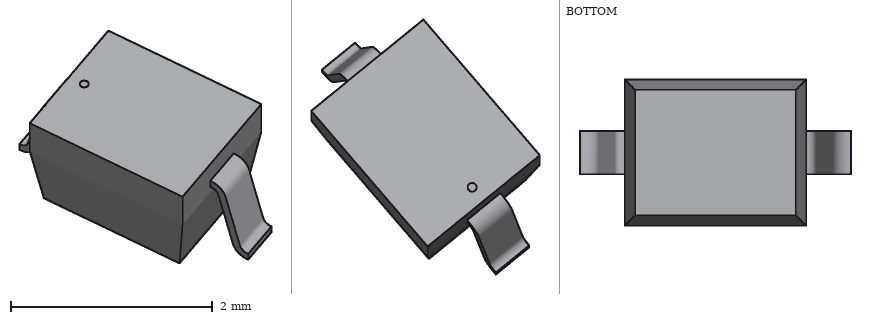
import cadquery as cq
import math

housing_length = 1.8
housing_width = 1.45
housing_height = 1.165
parting_height = 0.745
base_inset = 0.102

mark_diameter = 0.09
mark_thickness = 0.005
mark_x = -0.72

overall_length = 2.69
lead_width = 0.43
lead_thickness = 0.09
lead_top = 0.912
inner_bend_radius = 0.09
bend_angle = math.radians(75)


def make_housing():
    upper = (
        cq.Workplane("XY", origin=(0, 0, parting_height))
        .rect(housing_length, housing_width)
        .extrude(housing_height - parting_height)
    )
    lower = (
        cq.Workplane("XY")
        .rect(housing_length - 2 * base_inset, housing_width - 2 * base_inset)
        .workplane(offset=parting_height)
        .rect(housing_length, housing_width)
        .loft(ruled=True)
    )
    return upper.union(lower)


def make_mark():
    return (
        cq.Workplane("XY", origin=(mark_x, 0, housing_height))
        .circle(mark_diameter / 2)
        .extrude(mark_thickness)
    )


def make_lead(side):
    """Lead on the +X (side = 1) or -X (side = -1) end of the housing."""
    outer_bend_radius = inner_bend_radius + lead_thickness
    radius_sum = inner_bend_radius + outer_bend_radius
    root_x = housing_length / 2
    tip_x = overall_length / 2

    leg_drop = lead_top - lead_thickness - radius_sum * (1 - math.cos(bend_angle))
    leg_run = leg_drop / math.tan(bend_angle)
    flat = (tip_x - root_x - radius_sum * math.sin(bend_angle) - leg_run) / 2

    shoulder_x = root_x + flat
    shoulder_z = lead_top - outer_bend_radius
    foot_x = tip_x - flat
    foot_z = outer_bend_radius

    def shoulder_point(radius, angle):
        return (side * (shoulder_x + radius * math.sin(angle)), shoulder_z + radius * math.cos(angle))

    def foot_point(radius, angle):
        return (side * (foot_x - radius * math.sin(angle)), foot_z - radius * math.cos(angle))

    half_bend = bend_angle / 2
    return (
        cq.Workplane("XZ")
        .moveTo(side * root_x, lead_top)
        .lineTo(*shoulder_point(outer_bend_radius, 0))
        .threePointArc(
            shoulder_point(outer_bend_radius, half_bend), shoulder_point(outer_bend_radius, bend_angle)
        )
        .lineTo(*foot_point(inner_bend_radius, bend_angle))
        .threePointArc(foot_point(inner_bend_radius, half_bend), foot_point(inner_bend_radius, 0))
        .lineTo(side * tip_x, lead_thickness)
        .lineTo(side * tip_x, 0)
        .lineTo(*foot_point(outer_bend_radius, 0))
        .threePointArc(foot_point(outer_bend_radius, half_bend), foot_point(outer_bend_radius, bend_angle))
        .lineTo(*shoulder_point(inner_bend_radius, bend_angle))
        .threePointArc(shoulder_point(inner_bend_radius, half_bend), shoulder_point(inner_bend_radius, 0))
        .lineTo(side * root_x, lead_top - lead_thickness)
        .close()
        .extrude(lead_width / 2, both=True)
    )


housing = make_housing()
mark = make_mark()
leads = [make_lead(side) for side in (-1, 1)]

result = cq.Compound.makeCompound([housing.val(), mark.val(), *[lead.val() for lead in leads]])